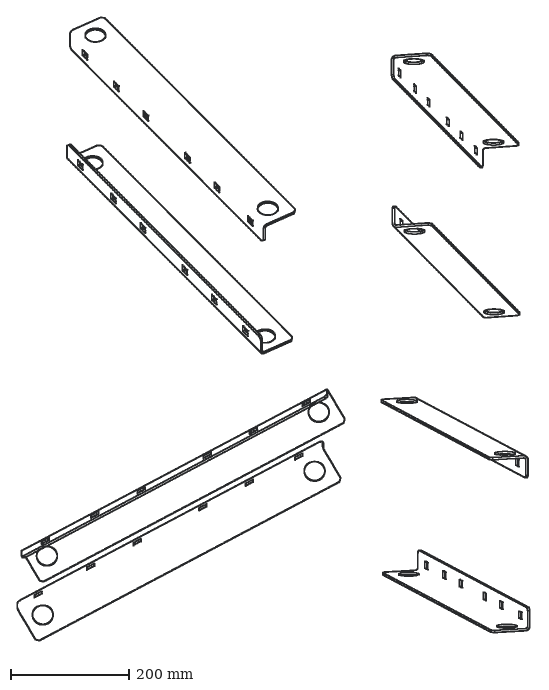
import cadquery as cq

TOTAL_LENGTH = 600.0
TOTAL_DEPTH = 68.5
TOTAL_HEIGHT = 300.0

OFFSET_X = 8.0
OFFSET_Y = 0.5

LENGTH = TOTAL_LENGTH - OFFSET_X
DEPTH = TOTAL_DEPTH - OFFSET_Y
HEIGHT = 39.0
THICKNESS = 4.0
BEND_OUTER_RADIUS = 8.0
BEND_INNER_RADIUS = BEND_OUTER_RADIUS - THICKNESS
CORNER_CHAMFER = 5.0

ROUND_DIAMETER = 35.0
ROUND_END_DISTANCE = 32.5
ROUND_FRONT_DISTANCE = 30.5

WINDOW_WIDTH = 15.0
WINDOW_HEIGHT = 12.0
WINDOW_DROP = 20.0
WINDOW_POSITIONS = [46.0, 142.0, 232.0, 360.0, 450.0, 552.0]


def folded_sheet():
    """Angle with its outer faces at Y = 0 and Z = 0, hanging down from the bend."""
    sheet = (
        cq.Workplane("YZ")
        .moveTo(0, 0)
        .lineTo(DEPTH, 0)
        .lineTo(DEPTH, -THICKNESS)
        .lineTo(THICKNESS, -THICKNESS)
        .lineTo(THICKNESS, -HEIGHT)
        .lineTo(0, -HEIGHT)
        .close()
        .extrude(LENGTH)
    )
    outer_bend = cq.selectors.NearestToPointSelector((LENGTH / 2, 0, 0))
    inner_bend = cq.selectors.NearestToPointSelector((LENGTH / 2, THICKNESS, -THICKNESS))
    sheet = sheet.edges("|X").edges(inner_bend).fillet(BEND_INNER_RADIUS)
    sheet = sheet.edges("|X").edges(outer_bend).fillet(BEND_OUTER_RADIUS)

    sheet = sheet.faces(">Y").edges("|Z").chamfer(CORNER_CHAMFER)
    return sheet.faces("<Z").edges("|Y").chamfer(CORNER_CHAMFER)


def round_holes():
    centers = [
        (ROUND_END_DISTANCE, ROUND_FRONT_DISTANCE),
        (LENGTH - ROUND_END_DISTANCE, ROUND_FRONT_DISTANCE),
    ]
    return cq.Workplane("XY").pushPoints(centers).circle(ROUND_DIAMETER / 2).extrude(-THICKNESS)


def windows():
    centers = [(x, -WINDOW_DROP) for x in WINDOW_POSITIONS]
    return (
        cq.Workplane("XZ")
        .pushPoints(centers)
        .rect(WINDOW_WIDTH, WINDOW_HEIGHT)
        .extrude(-THICKNESS)
    )


def rail():
    return folded_sheet().cut(round_holes()).cut(windows())


rails = []
for turn, place in [
    (0, (OFFSET_X, OFFSET_Y, TOTAL_HEIGHT)),
    (180, (LENGTH, 0, 0)),
]:
    rails.append(rail().rotate((0, 0, 0), (0, 1, 0), turn).translate(place))

result = cq.Compound.makeCompound([body.val() for body in rails])